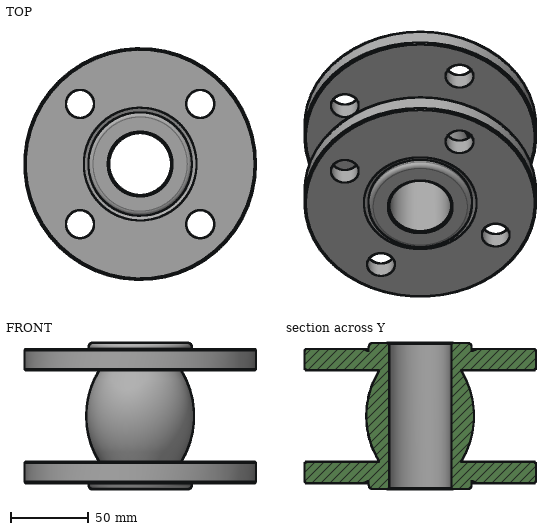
import cadquery as cq

total_length = 95.0
bore_diameter = 40.0
bore_edge_chamfer = 1.0

collar_diameter = 67.0
collar_height = 4.0
collar_rounding = 3.0

flange_diameter = 150.0
flange_thickness = 14.0
flange_edge_chamfer = 1.0
recess_width = 3.0
recess_depth = 1.4

bolt_hole_diameter = 18.0
bolt_circle_diameter = 110.0
bolt_count = 4

body_end_diameter = 53.4
body_middle_diameter = 70.0

flange_outer_z = total_length / 2 - collar_height
flange_inner_z = flange_outer_z - flange_thickness
collar_radius = collar_diameter / 2


def make_body():
    """Barrel with an arc profile, revolved about Z."""
    end_radius = body_end_diameter / 2
    profile = (
        cq.Workplane("XZ")
        .moveTo(0, -flange_inner_z)
        .lineTo(end_radius, -flange_inner_z)
        .threePointArc((body_middle_diameter / 2, 0), (end_radius, flange_inner_z))
        .lineTo(0, flange_inner_z)
        .close()
    )
    return profile.revolve(360, (0, 0), (0, 1))


def make_upper_flange():
    """Chamfered disc with bolt holes and a conical recess around the collar."""
    disc = (
        cq.Workplane("XY", origin=(0, 0, flange_inner_z))
        .circle(flange_diameter / 2)
        .extrude(flange_thickness)
        .edges()
        .chamfer(flange_edge_chamfer)
    )
    bolt_holes = (
        cq.Workplane("XY", origin=(0, 0, flange_inner_z))
        .polarArray(bolt_circle_diameter / 2, 180 / bolt_count, 360, bolt_count)
        .circle(bolt_hole_diameter / 2)
        .extrude(flange_thickness)
    )
    recess = cq.Workplane(
        cq.Solid.makeCone(
            collar_radius,
            collar_radius + recess_width,
            recess_depth,
            pnt=cq.Vector(0, 0, flange_outer_z - recess_depth),
        )
    )
    return disc.cut(bolt_holes).cut(recess)


def make_upper_collar():
    """Round collar seated in the flange recess, rounded at its outer rim."""
    return (
        cq.Workplane("XY", origin=(0, 0, flange_outer_z - recess_depth))
        .circle(collar_radius)
        .extrude(collar_height + recess_depth)
        .faces(">Z")
        .edges()
        .fillet(collar_rounding)
    )


def make_bore():
    """Through bore along Z."""
    return (
        cq.Workplane("XY", origin=(0, 0, -total_length / 2))
        .circle(bore_diameter / 2)
        .extrude(total_length)
    )


upper_end = make_upper_flange().union(make_upper_collar())
lower_end = upper_end.mirror("XY")
solid_part = make_body().union(upper_end).union(lower_end)

bore_rims = cq.selectors.RadiusNthSelector(0)
result = (
    solid_part.cut(make_bore())
    .faces("<Z or >Z")
    .edges(bore_rims)
    .chamfer(bore_edge_chamfer)
)